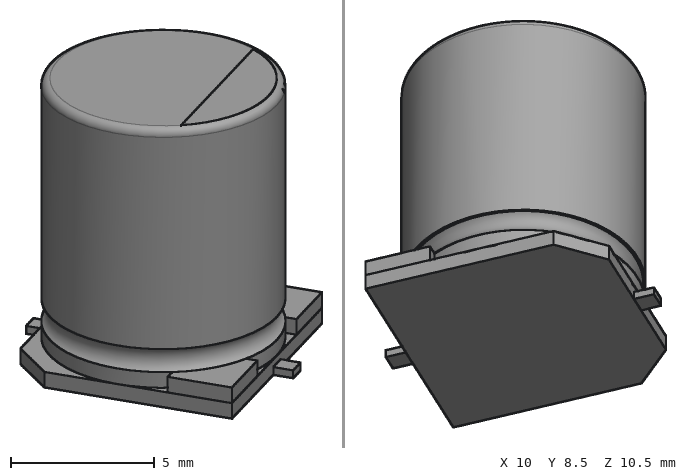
import cadquery as cq
import math

total_height = 10.5
can_diameter = 8.5
lead_span = 10.0

plate_thickness = 0.6
plate_corner_cut = 1.49
block_height = plate_thickness
block_side = 2.4

lead_width = 0.7
lead_thickness = 0.3

top_rounding = 0.3
groove_depth = 0.25
groove_half_width = 0.47
lip_bottom_z = 2.08
marker_edge_x = 2.02
marker_thickness = 0.09

can_radius = can_diameter / 2
half_plate = can_radius
groove_start_z = plate_thickness + block_height
groove_middle_z = groove_start_z + groove_half_width
groove_radius = (groove_half_width**2 + groove_depth**2) / (2 * groove_depth)
groove_floor_radius = can_radius - groove_depth
groove_center_radius = groove_floor_radius + groove_radius
lip_inner_radius = groove_center_radius - math.sqrt(
    groove_radius**2 - (lip_bottom_z - groove_middle_z) ** 2
)
top_face_radius = can_radius - top_rounding


def make_plate():
    """Square base plate with both corners on the -X side cut off."""
    plate = cq.Workplane("XY").box(
        can_diameter, can_diameter, plate_thickness, centered=(True, True, False)
    )
    return plate.edges("|Z and <X").chamfer(plate_corner_cut)


def make_marker():
    """Thin circular segment set flush into the +X side of the top face."""
    disc = (
        cq.Workplane("XY")
        .workplane(offset=total_height - marker_thickness)
        .circle(top_face_radius)
        .extrude(marker_thickness)
    )
    keep = (
        cq.Workplane("XY")
        .box(can_radius, can_diameter, total_height, centered=(False, True, False))
        .translate((marker_edge_x, 0, 0))
    )
    return disc.intersect(keep)


def make_can(marker):
    """Round can with a crimp groove, a rounded top and a recess for the marker."""
    rounding_offset = top_rounding * math.sqrt(0.5)
    rounding_center_z = total_height - top_rounding
    profile = (
        cq.Workplane("XZ")
        .moveTo(0, plate_thickness)
        .lineTo(can_radius, plate_thickness)
        .lineTo(can_radius, groove_start_z)
        .threePointArc(
            (groove_floor_radius, groove_middle_z), (lip_inner_radius, lip_bottom_z)
        )
        .lineTo(can_radius, lip_bottom_z)
        .lineTo(can_radius, rounding_center_z)
        .threePointArc(
            (top_face_radius + rounding_offset, rounding_center_z + rounding_offset),
            (top_face_radius, total_height),
        )
        .lineTo(0, total_height)
        .close()
    )
    return profile.revolve(360, (0, 0, 0), (0, 1, 0)).cut(marker)


def make_block(y_side):
    """Corner block on the +X side, hollowed to fit the can; y_side is -1 or 1."""
    block_center = half_plate - block_side / 2
    can_space = cq.Workplane("XY").circle(can_radius).extrude(total_height)
    block = (
        cq.Workplane("XY")
        .box(block_side, block_side, block_height, centered=(True, True, False))
        .translate((block_center, y_side * block_center, plate_thickness))
    )
    return block.cut(can_space)


def make_lead(x_side):
    """Flat lead standing out from the plate edge; x_side is -1 or 1."""
    lead_length = lead_span / 2 - half_plate
    return (
        cq.Workplane("XY")
        .box(lead_length, lead_width, lead_thickness, centered=(True, True, False))
        .translate((x_side * (half_plate + lead_length / 2), 0, 0))
    )


plate = make_plate()
marker = make_marker()
can = make_can(marker)
blocks = [make_block(side) for side in (-1, 1)]
leads = [make_lead(side) for side in (-1, 1)]

result = cq.Compound.makeCompound([
    plate.solids().val(),
    can.solids().val(),
    marker.solids().val(),
    *[block.solids().val() for block in blocks],
    *[lead.solids().val() for lead in leads],
])